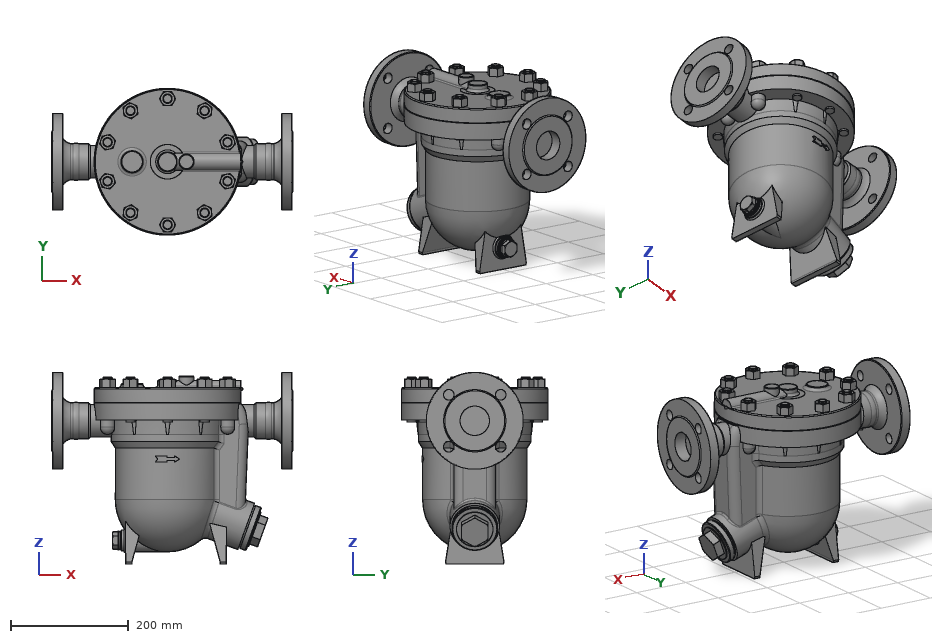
import cadquery as cq
import math


COVER_RADIUS = 125.0
COVER_TOP_Z = 56.4
JOINT_Z = 31.2
JOINT_GAP = 1.0
JOINT_DEPTH = 0.8
LOWER_FLANGE_Z = 1.0
COVER_EDGE = 2.0

OVERLAP = 1.0
SEAM_MARGIN = 1.0

BODY_RADIUS = 89.0
NECK_TOP_RADIUS = 97.0
NECK_RADIUS = 96.0
NECK_MID_Z = -23.7
NECK_LOW_Z = -35.6
NECK_CONE_Z = -46.5
DOME_Z = -134.2

HALF_HEX_ANGLE = math.radians(30.0)
HEX_CHAMFER_ANGLE = math.radians(30.0)

BOLT_COUNT = 10
BOLT_CIRCLE_RADIUS = 107.3
STUD_DIAMETER = 16.0
STUD_TIP_DIAMETER = 13.84
STUD_TOP_Z = 74.2
STUD_BOTTOM_Z = -2.5
NUT_WIDTH = 24.0
NUT_HEIGHT = 14.6
POD_RADIUS = 12.4
POD_CENTER_Z = -10.9
RIB_CENTER_RADIUS = 93.0
RIB_TOP_RADIUS = 6.2
RIB_BOTTOM_RADIUS = 3.4

INLET_FACE_X = -197.5
OUTLET_FACE_X = 213.5
FLANGE_DIAMETER = 165.0
FLANGE_THICKNESS = 18.0
FLANGE_EDGE = 1.5
RAISED_FACE_DIAMETER = 102.0
RAISED_FACE_BASE_DIAMETER = 106.0
RAISED_FACE_HEIGHT = 2.0
HUB_BASE_DIAMETER = 78.0
HUB_DIAMETER = 62.0
HUB_NECK_DISTANCE = 32.6
HUB_FLARE_SAG = 0.3
WELD_BEAD_START = 36.6
WELD_BEAD_END = 46.7
WELD_BEAD_HEIGHT = 0.8
HUB_LENGTH = 66.2
HUB_CHAMFER = 3.5
PIPE_DIAMETER = 56.0
BORE_DIAMETER = 50.0
BORE_DEPTH = 22.0
FLANGE_HOLE_DIAMETER = 18.0
FLANGE_HOLE_CIRCLE = 125.0
FLANGE_HOLE_COUNT = 4

SIDE_BOSS_X = -60.3
SIDE_BOSS_DIAMETER = 37.6
SIDE_BOSS_TOP_Z = 63.3
CENTER_BOSS_DIAMETER = 33.6
CENTER_BOSS_TOP_Z = 69.3
BOSS_ROOT = 5.4
BOSS_EDGE = 1.3
CENTER_PAD_DIAMETER = 58.8
CENTER_PAD_HEIGHT = 0.4
PIN_BOSS_X = 32.2
PIN_BOSS_DIAMETER = 26.0
PIN_BOSS_TOP_Z = 75.9
RIDGE_HALF_WIDTH = 13.9
RIDGE_TOP_Z = 68.8
RIDGE_ROOT = 2.5
NUB_RADIUS = 2.5
NUB_X = 125.6
NUB_Z = 55.4

CHANNEL_HALF_WIDTH = 35.6
CHANNEL_CORNER = 15.8
CHANNEL_FOOT_BLEND = 4.0
BODY_BLEND = 11.0
CHANNEL_TOP_X = 125.7
CHANNEL_TOP_Z = 28.7
CHANNEL_TOP_BULGE = 0.74
CHANNEL_SHOULDER_X = 137.9
CHANNEL_SHOULDER_Z = -5.4
CHANNEL_FOOT_X = 131.8
CHANNEL_FOOT_Z = -158.3

STRAINER_TILT = 20.0
STRAINER_CAP_X = 146.6
STRAINER_CAP_Z = -184.4
STRAINER_DIAMETER = 84.0
STRAINER_GROOVE_DIAMETER = 74.2
STRAINER_GROOVE_WIDTH = 2.9
CAP_DIAMETER = 78.0
CAP_THICKNESS = 10.6
CAP_EDGE = 1.5
CAP_WASHER_DIAMETER = 62.0
CAP_WASHER_THICKNESS = 2.0
CAP_HEX_CORNERS = 52.4
CAP_HEX_HEIGHT = 14.5
CAP_HEX_CHAMFER_DIAMETER = 50.0

DRAIN_Z = -203.6
DRAIN_BOSS_RADIUS = 19.6
DRAIN_BOSS_FACE_X = -74.2
DRAIN_COLLAR_RADIUS = 17.8
DRAIN_COLLAR_FACE_X = -78.4
DRAIN_RIM_FACE_X = -80.3
DRAIN_FLARE_RADIUS = 21.8
DRAIN_NECK_RADIUS = 15.0
DRAIN_NECK_FACE_X = -82.6
DRAIN_WASHER_RADIUS = 16.3
DRAIN_WASHER_FACE_X = -84.7
DRAIN_HEX_WIDTH = 26.0
DRAIN_HEX_FACE_X = -93.7

FOOT_Z = -244.0
FOOT_EDGE_Z = -240.0
FOOT_EDGE_INSET = 1.2
FOOT_THICKNESS = 10.8
FOOT_HALF_WIDTH = 50.0
LEG_TOP_Z = -163.2
LEG_TOP_HALF_WIDTH = 37.1
LEG_SLOPE = 0.27
LEFT_LEG_X = -71.2
RIGHT_LEG_X = 100.1

ARROW_Z = -65.1
ARROW_TAIL_X = -20.8
ARROW_NOTCH_X = -16.8
ARROW_NECK_X = -0.6
ARROW_BARB_X = 11.9
ARROW_TIP_X = 20.4
ARROW_HALF_HEIGHT = 5.3
ARROW_SHAFT_HALF_HEIGHT = 2.3
ARROW_FACE_Y = -90.0
ARROW_DEPTH = 4.9


def edges_near(x_range, y_range, z_range):
    low = (x_range[0], y_range[0], z_range[0])
    high = (x_range[1], y_range[1], z_range[1])
    return cq.selectors.BoxSelector(low, high)


def bolt_angles():
    """Polar angles of the cover bolts, in degrees; one bolt lies on +Y."""
    step = 360.0 / BOLT_COUNT
    return [90.0 + step * i for i in range(BOLT_COUNT)]


def cylinder_z(radius, bottom, top, x=0.0, y=0.0):
    return cq.Workplane("XY", origin=(x, y, bottom)).circle(radius).extrude(top - bottom)


def chamfered_hex(width, height, face_diameter):
    """Hex prism standing on Z = 0, its top corners cut by a cone; two corners lie along X."""
    corners = width / math.cos(HALF_HEX_ANGLE)
    drop = (corners - face_diameter) / 2.0 * math.tan(HEX_CHAMFER_ANGLE)
    prism = cq.Workplane("XY").polygon(6, corners).extrude(height)
    turned = (
        cq.Workplane("XZ")
        .polyline([
            (0, 0), (corners / 2.0, 0), (corners / 2.0, height - drop),
            (face_diameter / 2.0, height), (0, height),
        ])
        .close()
        .revolve(360, (0, 0), (0, 1))
    )
    return prism.intersect(turned)


def vessel():
    """Flanged neck, straight shell and hemispherical bottom, turned about Z.

    The surfaces start and end on the -X side, clear of the blends on the +X side.
    """
    dome_bottom = DOME_Z - BODY_RADIUS
    dome_mid = BODY_RADIUS * math.sqrt(0.5)
    joint_low = JOINT_Z - JOINT_GAP
    turned = (
        cq.Workplane("XZ")
        .moveTo(0, COVER_TOP_Z)
        .lineTo(COVER_RADIUS - COVER_EDGE, COVER_TOP_Z)
        .lineTo(COVER_RADIUS, COVER_TOP_Z - COVER_EDGE)
        .lineTo(COVER_RADIUS, JOINT_Z)
        .lineTo(COVER_RADIUS - JOINT_DEPTH, JOINT_Z)
        .lineTo(COVER_RADIUS - JOINT_DEPTH, joint_low)
        .lineTo(COVER_RADIUS, joint_low)
        .lineTo(COVER_RADIUS, LOWER_FLANGE_Z)
        .lineTo(NECK_TOP_RADIUS, LOWER_FLANGE_Z)
        .lineTo(NECK_RADIUS, NECK_MID_Z)
        .lineTo(NECK_RADIUS, NECK_LOW_Z)
        .lineTo(BODY_RADIUS, NECK_CONE_Z)
        .lineTo(BODY_RADIUS, DOME_Z)
        .threePointArc((dome_mid, DOME_Z - dome_mid), (0, dome_bottom))
        .close()
        .revolve(360, (0, 0), (0, 1))
    )
    return turned.rotate((0, 0, 0), (0, 0, 1), 180)


def channel():
    """Upright outlet channel with rounded outer corners and a curved top."""
    mid_x = CHANNEL_TOP_X + CHANNEL_TOP_BULGE * (CHANNEL_SHOULDER_X - CHANNEL_TOP_X)
    mid_z = (CHANNEL_TOP_Z + CHANNEL_SHOULDER_Z) / 2.0
    block = (
        cq.Workplane("XZ", origin=(0, CHANNEL_HALF_WIDTH, 0))
        .moveTo(0, CHANNEL_TOP_Z)
        .lineTo(CHANNEL_TOP_X, CHANNEL_TOP_Z)
        .threePointArc((mid_x, mid_z), (CHANNEL_SHOULDER_X, CHANNEL_SHOULDER_Z))
        .lineTo(CHANNEL_FOOT_X, CHANNEL_FOOT_Z)
        .lineTo(0, CHANNEL_FOOT_Z)
        .close()
        .extrude(2 * CHANNEL_HALF_WIDTH)
    )
    reach = CHANNEL_HALF_WIDTH + SEAM_MARGIN
    x_range = (CHANNEL_TOP_X, CHANNEL_SHOULDER_X + SEAM_MARGIN)
    z_range = (CHANNEL_FOOT_Z + SEAM_MARGIN, CHANNEL_TOP_Z - SEAM_MARGIN)
    outer_corners = edges_near(x_range, (-reach, reach), z_range)
    return block.edges(outer_corners).edges("not |Y").fillet(CHANNEL_CORNER)


def strainer_plane(offset):
    """Plane square to the strainer axis, offset outwards from the cap's outer face."""
    tilt = math.radians(STRAINER_TILT)
    axis = (math.cos(tilt), 0, -math.sin(tilt))
    origin = (STRAINER_CAP_X + offset * axis[0], 0, STRAINER_CAP_Z + offset * axis[2])
    up = (math.sin(tilt), 0, math.cos(tilt))
    return cq.Workplane(cq.Plane(origin=origin, xDir=up, normal=axis))


def strainer_branch():
    end = -CAP_THICKNESS - STRAINER_GROOVE_WIDTH
    length = STRAINER_CAP_X / math.cos(math.radians(STRAINER_TILT)) + end
    return strainer_plane(end).circle(STRAINER_DIAMETER / 2.0).extrude(-length)


def strainer_cap():
    """Groove, cap disc, washer and hex plug on the strainer branch."""
    groove_start = -CAP_THICKNESS - STRAINER_GROOVE_WIDTH
    groove = strainer_plane(groove_start).circle(STRAINER_GROOVE_DIAMETER / 2.0)
    groove = groove.extrude(STRAINER_GROOVE_WIDTH)
    cap = strainer_plane(-CAP_THICKNESS).circle(CAP_DIAMETER / 2.0).extrude(CAP_THICKNESS)
    cap = cap.faces(">X").edges().chamfer(CAP_EDGE)
    washer = strainer_plane(0).circle(CAP_WASHER_DIAMETER / 2.0).extrude(CAP_WASHER_THICKNESS)
    hex_width = CAP_HEX_CORNERS * math.cos(HALF_HEX_ANGLE)
    plug = chamfered_hex(hex_width, CAP_HEX_HEIGHT, CAP_HEX_CHAMFER_DIAMETER)
    plug_plane = strainer_plane(CAP_WASHER_THICKNESS).plane
    plug = cq.Workplane(plug.val().moved(cq.Location(plug_plane)))
    return groove.union(cap).union(washer).union(plug)


def pipe_end(face_x, direction):
    """Pipe flange with welded hub; direction is +1 when the flange looks towards -X."""
    flange_back = RAISED_FACE_HEIGHT + FLANGE_THICKNESS
    flange_radius = FLANGE_DIAMETER / 2.0
    hub_radius = HUB_DIAMETER / 2.0
    base_radius = HUB_BASE_DIAMETER / 2.0
    pipe_radius = PIPE_DIAMETER / 2.0
    bead_radius = hub_radius + WELD_BEAD_HEIGHT
    bead_mid = (WELD_BEAD_START + WELD_BEAD_END) / 2.0
    sag = HUB_FLARE_SAG * (base_radius - hub_radius)
    flare_mid = ((flange_back + HUB_NECK_DISTANCE) / 2.0, hub_radius + sag)
    solid = (
        cq.Workplane("XY")
        .moveTo(0, 0)
        .lineTo(0, RAISED_FACE_DIAMETER / 2.0)
        .lineTo(RAISED_FACE_HEIGHT, RAISED_FACE_BASE_DIAMETER / 2.0)
        .lineTo(RAISED_FACE_HEIGHT, flange_radius)
        .lineTo(flange_back - FLANGE_EDGE, flange_radius)
        .lineTo(flange_back, flange_radius - FLANGE_EDGE)
        .lineTo(flange_back, base_radius)
        .threePointArc(flare_mid, (HUB_NECK_DISTANCE, hub_radius))
        .lineTo(WELD_BEAD_START, hub_radius)
        .threePointArc((bead_mid, bead_radius), (WELD_BEAD_END, hub_radius))
        .lineTo(HUB_LENGTH - HUB_CHAMFER, hub_radius)
        .lineTo(HUB_LENGTH, pipe_radius)
        .lineTo(abs(face_x), pipe_radius)
        .lineTo(abs(face_x), 0)
        .close()
        .revolve(360, (0, 0), (1, 0))
    )
    bore = cq.Workplane("YZ").circle(BORE_DIAMETER / 2.0).extrude(BORE_DEPTH)
    holes = (
        cq.Workplane("YZ")
        .polarArray(FLANGE_HOLE_CIRCLE / 2.0, 45, 360, FLANGE_HOLE_COUNT)
        .circle(FLANGE_HOLE_DIAMETER / 2.0)
        .extrude(flange_back + OVERLAP)
    )
    solid = solid.cut(bore).cut(holes)
    if direction < 0:
        solid = solid.mirror("YZ")
    return solid.translate((face_x, 0, 0))


def stud_and_nut():
    """Stud with a chamfered tip and its nut, standing on the bolt axis."""
    tip = (STUD_DIAMETER - STUD_TIP_DIAMETER) / 2.0
    stud = cylinder_z(STUD_DIAMETER / 2.0, STUD_BOTTOM_Z, STUD_TOP_Z)
    stud = stud.faces(">Z").chamfer(tip)
    nut = chamfered_hex(NUT_WIDTH, NUT_HEIGHT, NUT_WIDTH)
    return stud.union(nut.translate((0, 0, COVER_TOP_Z)))


def bolt_pod():
    """Round-ended boss under the lower flange, on the bolt axis."""
    post = cylinder_z(POD_RADIUS, POD_CENTER_Z, LOWER_FLANGE_Z + OVERLAP)
    ball = cq.Workplane("XY", origin=(0, 0, POD_CENTER_Z)).sphere(POD_RADIUS)
    return post.union(ball)


def neck_rib():
    """Tapered half-round rib running down the neck below a bolt."""
    return (
        cq.Workplane("XY", origin=(RIB_CENTER_RADIUS, 0, NECK_MID_Z))
        .circle(RIB_BOTTOM_RADIUS)
        .workplane(offset=LOWER_FLANGE_Z + OVERLAP - NECK_MID_Z)
        .circle(RIB_TOP_RADIUS)
        .loft()
    )


def bolting():
    """All studs and nuts, with pods beside the two pipes and ribs at the other bolts."""
    parts = []
    fastener = stud_and_nut().rotate((0, 0, 0), (0, 0, 1), 90).translate((BOLT_CIRCLE_RADIUS, 0, 0))
    pod = bolt_pod().translate((BOLT_CIRCLE_RADIUS, 0, 0))
    rib = neck_rib()
    for angle in bolt_angles():
        beside_pipe = abs(BOLT_CIRCLE_RADIUS * math.sin(math.radians(angle))) < BODY_RADIUS / 2.0
        support = pod if beside_pipe else rib
        for item in (fastener, support):
            parts.append(item.rotate((0, 0, 0), (0, 0, 1), angle))
    return parts


def cover_boss(x, diameter, top):
    """Round boss on the cover with a concave root and a broken top edge."""
    radius = diameter / 2.0
    arc_mid = BOSS_ROOT * (1.0 - math.sqrt(0.5))
    boss = (
        cq.Workplane("XZ")
        .moveTo(0, COVER_TOP_Z - OVERLAP)
        .lineTo(radius + BOSS_ROOT, COVER_TOP_Z - OVERLAP)
        .lineTo(radius + BOSS_ROOT, COVER_TOP_Z)
        .threePointArc((radius + arc_mid, COVER_TOP_Z + arc_mid), (radius, COVER_TOP_Z + BOSS_ROOT))
        .lineTo(radius, top - BOSS_EDGE)
        .lineTo(radius - BOSS_EDGE, top)
        .lineTo(0, top)
        .close()
        .revolve(360, (0, 0), (0, 1))
    )
    return boss.translate((x, 0, 0))


def vent_ridge():
    """Round-topped ridge from the centre boss to the cover rim."""
    foot = RIDGE_HALF_WIDTH + RIDGE_ROOT
    side_z = COVER_TOP_Z + RIDGE_ROOT
    arc_mid = RIDGE_ROOT * (1.0 - math.sqrt(0.5))
    base_z = COVER_TOP_Z - OVERLAP
    ridge = (
        cq.Workplane("YZ")
        .moveTo(-foot, base_z)
        .lineTo(-foot, COVER_TOP_Z)
        .threePointArc(
            (-RIDGE_HALF_WIDTH - arc_mid, COVER_TOP_Z + arc_mid), (-RIDGE_HALF_WIDTH, side_z)
        )
        .threePointArc((0, RIDGE_TOP_Z), (RIDGE_HALF_WIDTH, side_z))
        .threePointArc((RIDGE_HALF_WIDTH + arc_mid, COVER_TOP_Z + arc_mid), (foot, COVER_TOP_Z))
        .lineTo(foot, base_z)
        .close()
        .extrude(COVER_RADIUS)
    )
    return ridge.intersect(cylinder_z(COVER_RADIUS, base_z, RIDGE_TOP_Z))


def cover_details():
    pad = cylinder_z(CENTER_PAD_DIAMETER / 2.0, COVER_TOP_Z - OVERLAP, COVER_TOP_Z + CENTER_PAD_HEIGHT)
    pin = cylinder_z(PIN_BOSS_DIAMETER / 2.0, COVER_TOP_Z, PIN_BOSS_TOP_Z, x=PIN_BOSS_X)
    pin = pin.faces(">Z").chamfer(BOSS_EDGE)
    nub = cq.Workplane("XY", origin=(NUB_X, 0, NUB_Z - NUB_RADIUS / 2.0)).sphere(NUB_RADIUS)
    return [
        cover_boss(SIDE_BOSS_X, SIDE_BOSS_DIAMETER, SIDE_BOSS_TOP_Z),
        cover_boss(0, CENTER_BOSS_DIAMETER, CENTER_BOSS_TOP_Z),
        pad,
        vent_ridge(),
        pin,
        nub,
    ]


def leg(outer_x, inward):
    """Wedge-shaped leg; its outer side is upright and its inner side slopes inwards."""
    rise = LEG_TOP_Z - FOOT_EDGE_Z
    inner_foot = outer_x + inward * FOOT_THICKNESS
    inner_top = inner_foot + inward * LEG_SLOPE * rise
    side = (
        cq.Workplane("XZ", origin=(0, FOOT_HALF_WIDTH, 0))
        .polyline([
            (outer_x, FOOT_Z), (inner_foot, FOOT_Z), (inner_foot, FOOT_EDGE_Z),
            (inner_top, LEG_TOP_Z), (outer_x, LEG_TOP_Z),
        ])
        .close()
        .extrude(2 * FOOT_HALF_WIDTH)
    )
    half_outline = [
        (FOOT_HALF_WIDTH - FOOT_EDGE_INSET, FOOT_Z),
        (FOOT_HALF_WIDTH, FOOT_EDGE_Z),
        (LEG_TOP_HALF_WIDTH, LEG_TOP_Z),
    ]
    other_half = [(-y, z) for y, z in reversed(half_outline)]
    front = (
        cq.Workplane("YZ", origin=(min(outer_x, inner_top) - OVERLAP, 0, 0))
        .polyline(half_outline + other_half)
        .close()
        .extrude(abs(inner_top - outer_x) + 2 * OVERLAP)
    )
    return side.intersect(front)


def drain():
    """Drain boss through the left leg, with stepped collars and a hex plug."""
    def disc(radius, start_x, end_x):
        plane = cq.Workplane("YZ", origin=(start_x, 0, DRAIN_Z))
        return plane.circle(radius).extrude(end_x - start_x)

    boss = disc(DRAIN_BOSS_RADIUS, DRAIN_BOSS_FACE_X, 0)
    collar = disc(DRAIN_COLLAR_RADIUS, DRAIN_COLLAR_FACE_X, DRAIN_BOSS_FACE_X)
    rim = disc(DRAIN_WASHER_RADIUS, DRAIN_RIM_FACE_X, DRAIN_COLLAR_FACE_X)
    neck = disc(DRAIN_NECK_RADIUS, DRAIN_NECK_FACE_X, DRAIN_RIM_FACE_X)
    washer = disc(DRAIN_WASHER_RADIUS, DRAIN_WASHER_FACE_X, DRAIN_NECK_FACE_X)
    flare = (
        cq.Workplane("YZ", origin=(DRAIN_BOSS_FACE_X, 0, DRAIN_Z))
        .circle(DRAIN_BOSS_RADIUS)
        .workplane(offset=LEFT_LEG_X - DRAIN_BOSS_FACE_X)
        .circle(DRAIN_FLARE_RADIUS)
        .loft()
    )
    height = DRAIN_WASHER_FACE_X - DRAIN_HEX_FACE_X
    plug = chamfered_hex(DRAIN_HEX_WIDTH, height, DRAIN_HEX_WIDTH)
    plug = plug.rotate((0, 0, 0), (0, 1, 0), -90).translate((DRAIN_WASHER_FACE_X, 0, DRAIN_Z))
    return boss.union(flare).union(collar).union(rim).union(neck).union(washer).union(plug)


def flow_arrow():
    upper = [
        (ARROW_TAIL_X, ARROW_HALF_HEIGHT),
        (ARROW_NECK_X, ARROW_HALF_HEIGHT),
        (ARROW_NECK_X, ARROW_SHAFT_HALF_HEIGHT),
        (ARROW_BARB_X, ARROW_SHAFT_HALF_HEIGHT),
        (ARROW_BARB_X, ARROW_HALF_HEIGHT),
    ]
    lower = [(x, -z) for x, z in reversed(upper)]
    outline = [(ARROW_NOTCH_X, 0)] + upper + [(ARROW_TIP_X, 0)] + lower
    plane = cq.Workplane("XZ", origin=(0, ARROW_FACE_Y, ARROW_Z))
    return plane.polyline(outline).close().extrude(-ARROW_DEPTH)


def channel_blend():
    """Vessel and channel joined by concave blends along the channel's two sides."""
    joined = vessel().union(channel())
    near_side = CHANNEL_HALF_WIDTH - SEAM_MARGIN
    far_side = CHANNEL_HALF_WIDTH + SEAM_MARGIN
    x_range = (0, NECK_RADIUS)
    z_range = (CHANNEL_FOOT_Z - SEAM_MARGIN, LOWER_FLANGE_Z - SEAM_MARGIN / 2.0)
    seams = edges_near(x_range, (near_side, far_side), z_range)
    seams += edges_near(x_range, (-far_side, -near_side), z_range)
    return joined.edges(seams).fillet(BODY_BLEND)


def strainer_blend():
    """Vessel and strainer branch joined by a concave blend around the branch."""
    joined = vessel().union(strainer_branch())
    reach = STRAINER_DIAMETER / 2.0 + SEAM_MARGIN
    x_range = (BODY_RADIUS / 2.0, BODY_RADIUS + SEAM_MARGIN)
    z_range = (DOME_Z - BODY_RADIUS, NECK_CONE_Z - SEAM_MARGIN)
    return joined.edges(edges_near(x_range, (-reach, reach), z_range)).fillet(BODY_BLEND)


def channel_foot_blend():
    """Channel and strainer branch joined by a small concave blend."""
    joined = channel().union(strainer_branch())
    reach = CHANNEL_HALF_WIDTH + SEAM_MARGIN
    x_range = (BODY_RADIUS / 2.0, CHANNEL_SHOULDER_X - SEAM_MARGIN)
    z_range = (CHANNEL_FOOT_Z + SEAM_MARGIN, DOME_Z + SEAM_MARGIN)
    return joined.edges(edges_near(x_range, (-reach, reach), z_range)).fillet(CHANNEL_FOOT_BLEND)


result = channel_blend().union(strainer_blend()).union(channel_foot_blend())
result = result.union(leg(LEFT_LEG_X, 1)).union(leg(RIGHT_LEG_X, -1))
result = result.union(drain()).union(strainer_cap())
result = result.union(pipe_end(INLET_FACE_X, 1))
result = result.union(pipe_end(OUTLET_FACE_X, -1))
for detail in cover_details() + bolting() + [flow_arrow()]:
    result = result.union(detail)